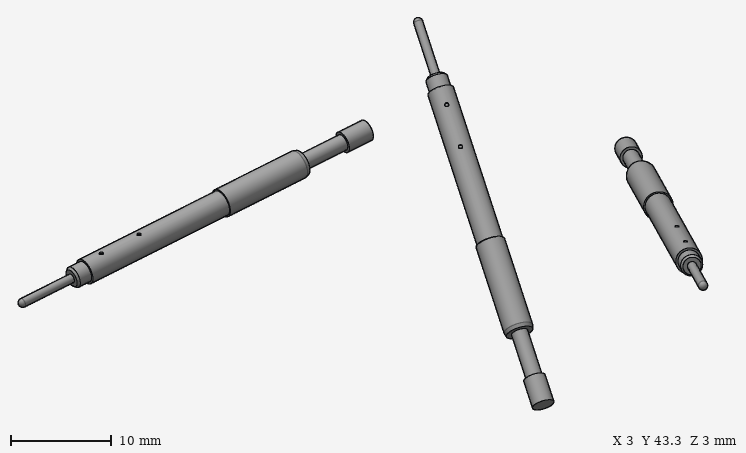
import cadquery as cq

OVERALL_LENGTH = 43.3

HEAD_LENGTH = 3.0
HEAD_DIAMETER = 2.25
STEM_LENGTH = 5.1
STEM_DIAMETER = 1.7
SLEEVE_LENGTH = 10.0
SLEEVE_DIAMETER = 3.0
SLEEVE_CHAMFER_LENGTH = 0.4
SLEEVE_CHAMFER_DEPTH = 0.12
BARREL_LENGTH = 17.0
BARREL_DIAMETER = 2.7
NOSE_LENGTH = 1.65
NOSE_DIAMETER = 2.25
NOSE_CHAMFER_LENGTH = 0.25
NOSE_CHAMFER_DEPTH = 0.2
PIN_DIAMETER = 0.95
PIN_RADIUS = PIN_DIAMETER / 2

DIMPLE_DIAMETER = 0.4
DIMPLE_DEPTH = 0.2
DIMPLE_DISTANCES = (28.35, 33.05)

HEAD_END_Y = OVERALL_LENGTH / 2
STEM_START_Y = HEAD_END_Y - HEAD_LENGTH
SLEEVE_START_Y = STEM_START_Y - STEM_LENGTH
BARREL_START_Y = SLEEVE_START_Y - SLEEVE_LENGTH
NOSE_START_Y = BARREL_START_Y - BARREL_LENGTH
PIN_START_Y = NOSE_START_Y - NOSE_LENGTH
TIP_Y = HEAD_END_Y - OVERALL_LENGTH


def cylinder(diameter, start_y, end_y):
    """Solid cylinder on the Y axis, running toward -Y from start_y to end_y."""
    profile = cq.Workplane("XZ", origin=(0, start_y, 0)).circle(diameter / 2)
    return profile.extrude(start_y - end_y)


def plunger():
    head = cylinder(HEAD_DIAMETER, HEAD_END_Y, STEM_START_Y)
    stem = cylinder(STEM_DIAMETER, STEM_START_Y, SLEEVE_START_Y)
    return head.union(stem)


def sleeve():
    body = cylinder(SLEEVE_DIAMETER, SLEEVE_START_Y, BARREL_START_Y)
    return body.faces(">Y").edges().chamfer(SLEEVE_CHAMFER_LENGTH, SLEEVE_CHAMFER_DEPTH)


def barrel():
    body = cylinder(BARREL_DIAMETER, BARREL_START_Y, NOSE_START_Y)
    for distance in DIMPLE_DISTANCES:
        dimple_floor = (0, HEAD_END_Y - distance, BARREL_DIAMETER / 2 - DIMPLE_DEPTH)
        dimple = cq.Workplane("XY", origin=dimple_floor).circle(DIMPLE_DIAMETER / 2)
        body = body.cut(dimple.extrude(BARREL_DIAMETER))
    return body


def nose():
    body = cylinder(NOSE_DIAMETER, NOSE_START_Y, PIN_START_Y)
    return body.faces("<Y").edges().chamfer(NOSE_CHAMFER_LENGTH, NOSE_CHAMFER_DEPTH)


def pin():
    dome_centre_y = TIP_Y + PIN_RADIUS
    shaft = cylinder(PIN_DIAMETER, PIN_START_Y, dome_centre_y)
    dome = cq.Workplane("XY", origin=(0, dome_centre_y, 0)).sphere(PIN_RADIUS)
    return shaft.union(dome)


result = plunger().union(sleeve()).union(barrel()).union(nose()).union(pin())